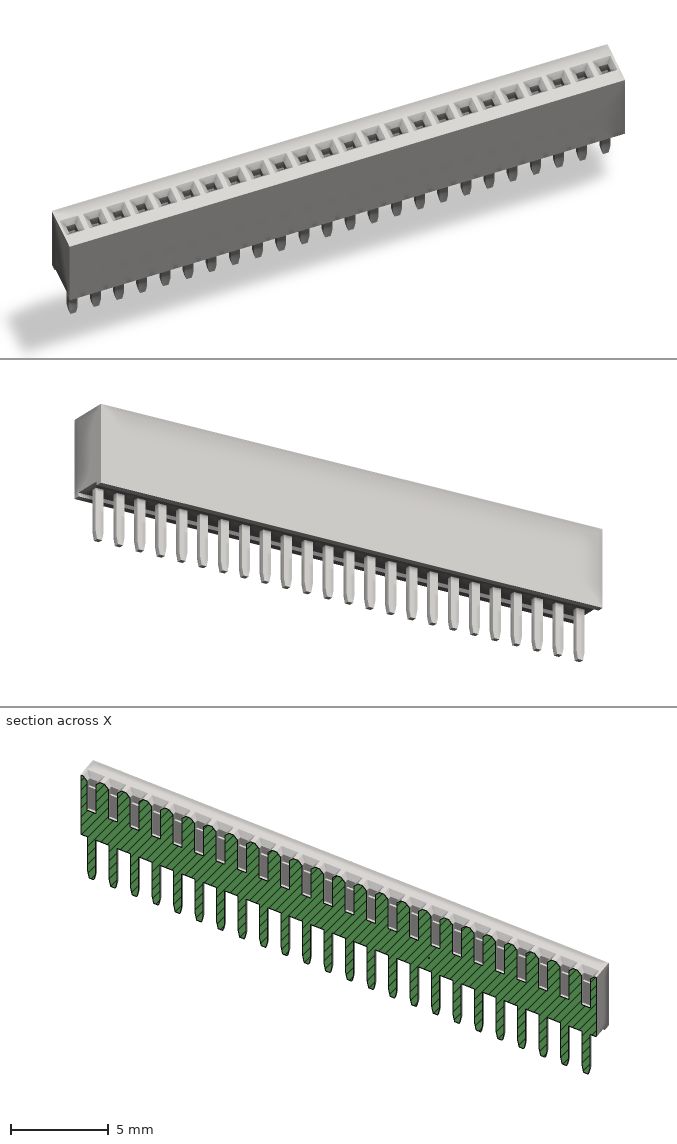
import cadquery as cq

contact_count = 24
body_length = 30.48
pitch = body_length / contact_count
body_width = 2.53
total_height = 7.0

body_height = 4.4
rail_width = 0.4
rail_height = 0.2

funnel_size = 1.0
funnel_depth = 0.27
throat_size = 0.5
throat_depth = 0.5
slot_width = 0.27
slot_depth = 1.52

pin_thickness = 0.3
pin_width = 0.5
tip_width = 0.3
tip_length = 0.45

body_top = body_height
pin_bottom = body_height - total_height

contact_positions = [
    (index - (contact_count - 1) / 2) * pitch for index in range(contact_count)
]


def make_body():
    """Rectangular bar with a shallow channel between the two bottom rails."""
    bar = cq.Workplane("XY").box(body_width, body_length, body_height, centered=(True, True, False))
    channel_width = body_width - 2 * rail_width
    channel = cq.Workplane("XY").box(channel_width, body_length, rail_height, centered=(True, True, False))
    return bar.cut(channel)


def make_socket():
    """Space removed for one contact: tapered funnel, square throat and narrow slot."""
    throat_top = body_top - funnel_depth
    throat_bottom = throat_top - throat_depth
    funnel = (
        cq.Workplane("XY", origin=(0, 0, body_top))
        .rect(funnel_size, funnel_size)
        .workplane(offset=-funnel_depth)
        .rect(throat_size, throat_size)
        .loft(ruled=True)
    )
    throat = (
        cq.Workplane("XY", origin=(0, 0, throat_top))
        .rect(throat_size, throat_size)
        .extrude(-throat_depth)
    )
    slot = (
        cq.Workplane("XY", origin=(0, 0, throat_bottom))
        .rect(slot_width, throat_size)
        .extrude(-slot_depth)
    )
    return funnel.union(throat).union(slot)


def make_pin():
    """One blade hanging from the channel floor, its width tapering along Y at the tip."""
    tip_top = pin_bottom + tip_length
    half_width = pin_width / 2
    half_tip = tip_width / 2
    outline = [
        (-half_width, rail_height),
        (half_width, rail_height),
        (half_width, tip_top),
        (half_tip, pin_bottom),
        (-half_tip, pin_bottom),
        (-half_width, tip_top),
    ]
    return cq.Workplane("YZ").polyline(outline).close().extrude(pin_thickness / 2, both=True)


def at_every_contact(shape):
    """Copies of a shape at each contact position along Y."""
    solid = shape.val()
    copies = [solid.moved(cq.Location(cq.Vector(0, y, 0))) for y in contact_positions]
    return cq.Workplane("XY").newObject(copies).combine()


result = make_body().cut(at_every_contact(make_socket())).union(at_every_contact(make_pin()))